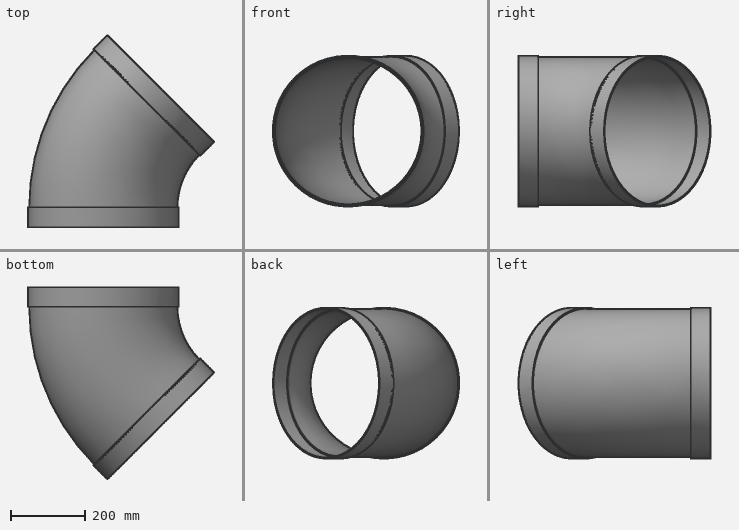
import cadquery as cq
import math

overall_length = 517.5
bend_angle = 45.0
bend_diameter = 400.0
collar_diameter = 406.5

wall = (collar_diameter - bend_diameter) / 2
bend_bore = bend_diameter - 2 * wall
collar_bore = bend_diameter

bend_radius = bend_diameter

sin_bend = math.sin(math.radians(bend_angle))
cos_bend = math.cos(math.radians(bend_angle))
outlet_rim_height = collar_diameter / 2 * sin_bend
collar_length = (overall_length - bend_radius * sin_bend - outlet_rim_height) / (1 + cos_bend)


def make_tube(outer_diameter, bore, length):
    """Tube running from the XZ plane towards -Y."""
    return cq.Workplane("XZ").circle(outer_diameter / 2).circle(bore / 2).extrude(length)


def make_bend():
    """Hollow torus segment leading from +Y towards +X."""
    return (
        cq.Workplane("XZ")
        .circle(bend_diameter / 2)
        .circle(bend_bore / 2)
        .revolve(bend_angle, (bend_radius, 0), (bend_radius, -1))
    )


def make_collar():
    """Socket whose inner end is a one-wall-thick ring that joins it to the bend."""
    socket = make_tube(collar_diameter, collar_bore, collar_length)
    joining_ring = make_tube(collar_diameter, bend_bore, wall)
    return socket.union(joining_ring)


def place_at_outlet(collar):
    """Face an inlet collar towards +Y, then swing it round to the end of the bend."""
    return collar.mirror("XZ").rotate((bend_radius, 0, 0), (bend_radius, 0, -1), bend_angle)


inlet_collar = make_collar()
outlet_collar = place_at_outlet(inlet_collar)
result = make_bend().union(inlet_collar).union(outlet_collar)